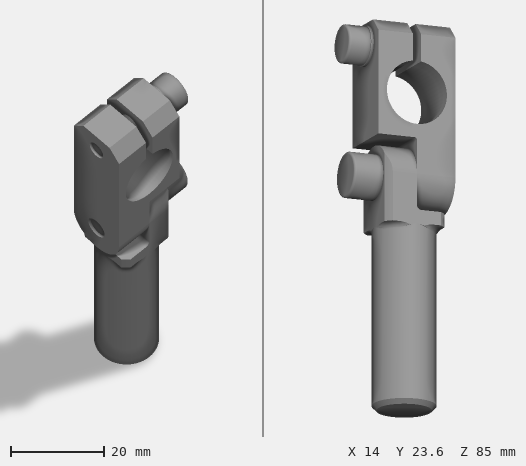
import cadquery as cq

TOTAL_HEIGHT = 85.0
WIDTH = 14.0
CLAMP_DEPTH = 18.0

PIVOT_HEIGHT = 51.0
BORE_HEIGHT = TOTAL_HEIGHT - 16.0
CLAMP_SCREW_HEIGHT = TOTAL_HEIGHT - 5.0
CLAMP_STEP_HEIGHT = TOTAL_HEIGHT - 26.0
CLAMP_CHAMFER = 3.0
CLAMP_STEP_FILLET = 0.5
SLOT_WIDTH = 1.95

STEM_LEDGE_HEIGHT = 43.0
STEM_NECK_HEIGHT = 40.0
STEM_FILLET = 1.0
STEM_FOOT_CHAMFER = 1.0
BLEND_RUN_OUT = 3.5
HEAD_CORNER_DIAMETER = 18.0

SCREW_HEAD_FILLET = 0.5
CLAMP_SHANK_DIAMETER = 5.0
CLAMP_HEAD_DIAMETER = 8.5
CLAMP_HEAD_LENGTH = 5.0
CLAMP_WASHER_DIAMETER = 9.0
CLAMP_WASHER_HOLE = 5.3
CLAMP_WASHER_THICKNESS = 0.6
CLAMP_SCREW_OPENING = 4.2
PIVOT_SHANK_DIAMETER = 6.0
PIVOT_HEAD_DIAMETER = 10.0
PIVOT_HEAD_LENGTH = 6.0
PIVOT_WASHER_DIAMETER = 10.0
PIVOT_WASHER_HOLE = 6.4
PIVOT_WASHER_THICKNESS = 0.7
PIVOT_SCREW_OPENING = 5.0
CLAMP_SCREW_RECESS = 0.6
PIVOT_SCREW_RECESS = 0.7

RADIUS = WIDTH / 2
CLAMP_FRONT = -CLAMP_DEPTH / 2
CLAMP_BACK = CLAMP_DEPTH / 2
TONGUE_BACK = RADIUS
CLAMP_SCREW_TIP = CLAMP_FRONT + CLAMP_SCREW_RECESS
PIVOT_SCREW_TIP = CLAMP_FRONT + PIVOT_SCREW_RECESS


def y_cylinder(diameter, height, start, end):
    """Cylinder along Y at the given height, between two Y positions."""
    disc = cq.Workplane("XZ", origin=(0, start, height)).circle(diameter / 2)
    return disc.extrude(start - end)


def box_between(low, high):
    """Axis-aligned box between two opposite corners."""
    size = [b - a for a, b in zip(low, high)]
    return cq.Workplane("XY").box(*size, centered=False).translate(low)


def screw_hole(height, shank_diameter, opening_diameter, tip):
    """Space for a shank, with a narrower opening at the clamp front."""
    shank = y_cylinder(shank_diameter, height, tip, CLAMP_BACK)
    return shank.union(y_cylinder(opening_diameter, height, CLAMP_FRONT, tip))


def make_clamp():
    body = (
        cq.Workplane("XZ", origin=(0, CLAMP_BACK, 0))
        .moveTo(-RADIUS, PIVOT_HEIGHT)
        .lineTo(-RADIUS, TOTAL_HEIGHT - CLAMP_CHAMFER)
        .lineTo(-RADIUS + CLAMP_CHAMFER, TOTAL_HEIGHT)
        .lineTo(RADIUS - CLAMP_CHAMFER, TOTAL_HEIGHT)
        .lineTo(RADIUS, TOTAL_HEIGHT - CLAMP_CHAMFER)
        .lineTo(RADIUS, PIVOT_HEIGHT)
        .threePointArc((0, PIVOT_HEIGHT - RADIUS), (-RADIUS, PIVOT_HEIGHT))
        .close()
        .extrude(CLAMP_DEPTH)
    )

    step = box_between(
        (-RADIUS, 0, PIVOT_HEIGHT - RADIUS), (RADIUS, CLAMP_BACK, CLAMP_STEP_HEIGHT)
    )
    step = step.edges("<Y and >Z").fillet(CLAMP_STEP_FILLET)

    bore = cq.Workplane("YZ").center(0, BORE_HEIGHT).circle(RADIUS).extrude(RADIUS, both=True)
    slot = box_between(
        (-RADIUS, -SLOT_WIDTH / 2, BORE_HEIGHT), (RADIUS, SLOT_WIDTH / 2, TOTAL_HEIGHT)
    )

    clamp_hole = screw_hole(
        CLAMP_SCREW_HEIGHT, CLAMP_SHANK_DIAMETER, CLAMP_SCREW_OPENING, CLAMP_SCREW_TIP
    )
    pivot_hole = screw_hole(
        PIVOT_HEIGHT, PIVOT_SHANK_DIAMETER, PIVOT_SCREW_OPENING, PIVOT_SCREW_TIP
    )
    return body.cut(step).cut(bore).cut(slot).cut(clamp_hole).cut(pivot_hole)


def make_corner_blends():
    """Concave blends between the shaft and the four corners under the square head."""
    blend_foot = STEM_NECK_HEIGHT - STEM_FILLET
    flare = (
        cq.Workplane("XZ")
        .moveTo(0, blend_foot)
        .lineTo(RADIUS, blend_foot)
        .radiusArc((RADIUS + STEM_FILLET, STEM_NECK_HEIGHT), STEM_FILLET)
        .lineTo(0, STEM_NECK_HEIGHT)
        .close()
        .revolve(360, (0, 0, 0), (0, 1, 0))
    )
    flare = flare.intersect(cq.Workplane("XY").box(WIDTH, WIDTH, 2 * TOTAL_HEIGHT))

    for plane in ("XZ", "YZ"):
        run_out = (
            cq.Workplane(plane)
            .moveTo(0, STEM_NECK_HEIGHT)
            .lineTo(BLEND_RUN_OUT, blend_foot)
            .lineTo(-BLEND_RUN_OUT, blend_foot)
            .close()
            .extrude(WIDTH, both=True)
        )
        flare = flare.cut(run_out)
    return flare


def make_stem():
    head = box_between((-RADIUS, -RADIUS, STEM_NECK_HEIGHT), (RADIUS, RADIUS, PIVOT_HEIGHT))
    head = head.union(y_cylinder(WIDTH, PIVOT_HEIGHT, -RADIUS, TONGUE_BACK))
    turned = cq.Workplane("XY").circle(HEAD_CORNER_DIAMETER / 2).extrude(TOTAL_HEIGHT)
    head = head.intersect(turned)

    notch = box_between(
        (-RADIUS, -RADIUS, STEM_LEDGE_HEIGHT), (RADIUS, 0, PIVOT_HEIGHT + RADIUS)
    )
    notch = notch.edges(">Y and <Z").fillet(STEM_FILLET)
    head = head.cut(notch)

    shaft = cq.Workplane("XY").circle(RADIUS).extrude(STEM_NECK_HEIGHT)
    shaft = shaft.faces("<Z").chamfer(STEM_FOOT_CHAMFER)
    stem = head.union(shaft).union(make_corner_blends())
    return stem.cut(y_cylinder(PIVOT_SHANK_DIAMETER, PIVOT_HEIGHT, 0, TONGUE_BACK))


def make_washer(height, seat, thickness, diameter, hole):
    """Flat washer whose front face lies on the seat."""
    disc = y_cylinder(diameter, height, seat, seat + thickness)
    return disc.cut(y_cylinder(hole, height, seat, seat + thickness))


def make_screw(height, tip, seat, shank_diameter, head_diameter, head_length):
    """Cylinder-head screw with its head behind the seat and its shank along -Y."""
    head = y_cylinder(head_diameter, height, seat, seat + head_length)
    head = head.faces(">Y").edges().fillet(SCREW_HEAD_FILLET)
    return head.union(y_cylinder(shank_diameter, height, tip, seat))


clamp = make_clamp()
stem = make_stem()
clamp_washer = make_washer(
    CLAMP_SCREW_HEIGHT, CLAMP_BACK, CLAMP_WASHER_THICKNESS, CLAMP_WASHER_DIAMETER, CLAMP_WASHER_HOLE
)
pivot_washer = make_washer(
    PIVOT_HEIGHT, TONGUE_BACK, PIVOT_WASHER_THICKNESS, PIVOT_WASHER_DIAMETER, PIVOT_WASHER_HOLE
)
clamp_screw = make_screw(
    CLAMP_SCREW_HEIGHT,
    CLAMP_SCREW_TIP,
    CLAMP_BACK + CLAMP_WASHER_THICKNESS,
    CLAMP_SHANK_DIAMETER,
    CLAMP_HEAD_DIAMETER,
    CLAMP_HEAD_LENGTH,
)
pivot_screw = make_screw(
    PIVOT_HEIGHT,
    PIVOT_SCREW_TIP,
    TONGUE_BACK + PIVOT_WASHER_THICKNESS,
    PIVOT_SHANK_DIAMETER,
    PIVOT_HEAD_DIAMETER,
    PIVOT_HEAD_LENGTH,
)

bodies = [clamp, stem, clamp_washer, pivot_washer, clamp_screw, pivot_screw]
result = cq.Compound.makeCompound([body.solids().val() for body in bodies])